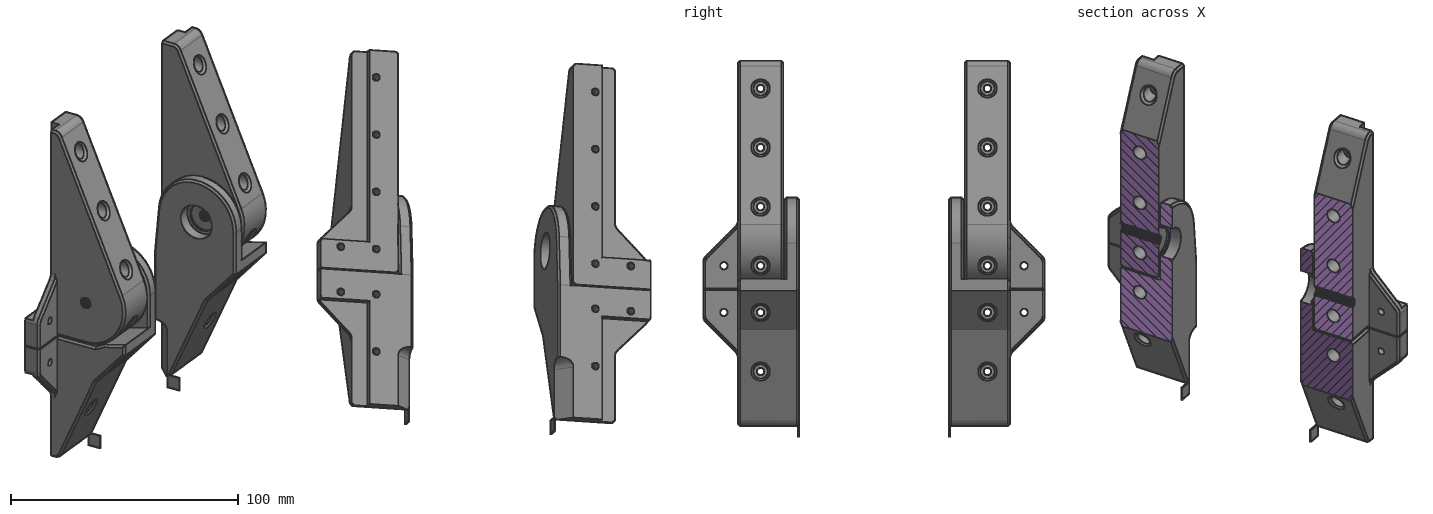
import cadquery as cq
import math


margin = 0.2

depth = 42.0
inner_y = 32.9
leaf_inner_y = 39.8
leaf_outer_y = 59.8
ear_outer_y = 75.0
upper_top_z = 100.2
lower_bottom_z = -60.1
side_gap = 0.5
upper_bottom_z = 0.25
lower_top_z = -0.3
chamfer = 1.0
corner_radius = 4.0
tip_center_x = 5.5

knuckle_radius = 20.0
pivot_x = depth - knuckle_radius
pivot_z = upper_bottom_z + knuckle_radius
thread_minor = 4.3
thread_major = 5.1
thread_pitch = 0.8
cheek_bore = 13.0
cheek_counterbore = 16.0
cheek_counterbore_depth = 5.5
cheek_thickness = leaf_inner_y - side_gap - inner_y

nose_ramp_start_x = 26.8
nose_ramp_end = (31.0, 1.8)
nose_tip_z = 4.5
nose_bottom_z = -0.7
waist = (27.0, -17.7)

ear_thickness = 7.3
recess_depth = 4.0
recess_y = 52.8
ear_height = 13.0

screw_hole = 3.1
screw_bore = 6.3
screw_y = (leaf_inner_y + leaf_outer_y) / 2
ear_screw_y = 65.9
first_screw_z = 10.2
screw_pitch = 26.0
upper_screw_count = 4
lower_screw_count = 2

bevel = leaf_inner_y - inner_y
bevel_top_z = -33.0
bevel_run_out = 4.1
tab_size = 6.1
tab_thickness = 0.5
tab_bottom_z = -64.9


def tangent_points(center_a, radius_a, center_b, radius_b, side):
    """Points where an outer tangent touches circles a and b; side 1 is left of a-to-b, -1 is right."""
    dx = center_b[0] - center_a[0]
    dz = center_b[1] - center_a[1]
    heading = math.atan2(dz, dx)
    normal = heading + side * math.acos((radius_a - radius_b) / math.hypot(dx, dz))
    return (
        on_circle(center_a, radius_a, normal),
        on_circle(center_b, radius_b, normal),
    )


def on_circle(center, radius, angle):
    return (center[0] + radius * math.cos(angle), center[1] + radius * math.sin(angle))


def at_y(y):
    """XZ workplane at the given Y; extruding a negative length goes toward +Y."""
    return cq.Workplane("XZ", origin=(0, y, 0))


def box(x_range, y_range, z_range):
    corner = (x_range[0], y_range[0], z_range[0])
    size = (x_range[1] - x_range[0], y_range[1] - y_range[0], z_range[1] - z_range[0])
    return cq.Workplane("XY").box(*size, centered=False).translate(corner)


def chamfer_sides(plate, face):
    """Chamfer the outline of a Y face, leaving the edge on the mounting face sharp."""
    beyond_back = cq.selectors.BoxSelector(
        (margin, 0, tab_bottom_z),
        (depth + margin, ear_outer_y, upper_top_z + margin),
    )
    return plate.faces(face).edges(beyond_back).chamfer(chamfer)


def upper_plate():
    pivot = (pivot_x, pivot_z)
    tip = (tip_center_x, upper_top_z - corner_radius)
    slope_low, slope_high = tangent_points(pivot, knuckle_radius, tip, corner_radius, -1)
    plate = (
        at_y(leaf_inner_y)
        .moveTo(0, upper_bottom_z)
        .lineTo(pivot_x, upper_bottom_z)
        .threePointArc(on_circle(pivot, knuckle_radius, math.radians(-45)), slope_low)
        .lineTo(*slope_high)
        .threePointArc(on_circle(tip, corner_radius, math.radians(60)), (tip_center_x, upper_top_z))
        .lineTo(0, upper_top_z)
        .close()
        .extrude(leaf_inner_y - leaf_outer_y)
    )
    plate = chamfer_sides(plate, "<Y")
    return chamfer_sides(plate, ">Y")


def foot_outline(sketch):
    """Continue an outline from the nose bottom, round the foot tip, to the mounting face."""
    tip = (tip_center_x, lower_bottom_z + corner_radius)
    slope_high, slope_low = tangent_points(waist, 0, tip, corner_radius, 1)
    return (
        sketch
        .lineTo(*slope_high)
        .lineTo(*slope_low)
        .threePointArc(on_circle(tip, corner_radius, math.radians(-60)), (tip_center_x, lower_bottom_z))
        .lineTo(0, lower_bottom_z)
        .close()
    )


def lower_plate():
    """Part of the lower leaf below the upper leaf; it overlaps the cheek up to its inner chamfer."""
    start_y = inner_y + chamfer
    sketch = (
        at_y(start_y)
        .moveTo(0, lower_top_z)
        .lineTo(nose_ramp_start_x, lower_top_z)
        .lineTo(*nose_ramp_end)
        .lineTo(depth, nose_tip_z)
        .lineTo(depth, nose_bottom_z)
    )
    plate = foot_outline(sketch).extrude(start_y - leaf_outer_y)
    return chamfer_sides(plate, ">Y")


def cheek():
    """Plate of the lower leaf that reaches up beside the upper leaf and carries the pivot."""
    pivot = (pivot_x, pivot_z)
    shoulder = (0, lower_top_z)
    _, side_top = tangent_points(shoulder, 0, pivot, knuckle_radius, 1)
    sketch = (
        at_y(inner_y)
        .moveTo(*shoulder)
        .lineTo(*side_top)
        .threePointArc(on_circle(pivot, knuckle_radius, math.pi / 2), (depth, pivot_z))
        .lineTo(depth, nose_bottom_z)
    )
    plate = foot_outline(sketch).extrude(-cheek_thickness)
    return plate.faces("<Y or >Y").edges().chamfer(chamfer)


def ear(side, start_z):
    """Mounting ear from start_z outward; side is 1 above the parting plane and -1 below it."""
    root_y = recess_y
    end_z = abs(start_z)
    slope_start_z = end_z + ear_height
    slope_top_z = slope_start_z + ear_outer_y - leaf_outer_y
    root_top_z = slope_top_z + corner_radius
    points = [
        (root_y, end_z),
        (ear_outer_y, end_z),
        (ear_outer_y, slope_start_z),
        (leaf_outer_y, slope_top_z),
        (leaf_outer_y, root_top_z),
        (root_y, root_top_z),
    ]
    plate = cq.Workplane("YZ").polyline([(y, side * z) for y, z in points]).close().extrude(ear_thickness)
    for y, z in points[2:4]:
        corner = (ear_thickness / 2, y, side * z)
        plate = plate.edges(cq.selectors.NearestToPointSelector(corner)).fillet(corner_radius)
    outer_edges = cq.selectors.BoxSelector(
        (ear_thickness - margin, leaf_outer_y + margin / 10, start_z + side * margin),
        (ear_thickness + margin, ear_outer_y + margin, side * root_top_z),
    )
    return plate.faces(">X").edges(outer_edges).chamfer(chamfer)


def back_recess(start_z, end_z):
    """Cutter for the step in the mounting face, from the ear to the end of the leaf."""
    return box((0, recess_depth), (recess_y, ear_outer_y), sorted((start_z, end_z)))


def x_cylinder(diameter, start_x, y, z):
    return cq.Workplane("YZ", origin=(start_x, y, z)).circle(diameter / 2).extrude(depth)


def chamfer_bore_mouth(leaf, z):
    """Chamfer the rim where a screw bore breaks through the sloping side of a leaf."""
    reach = screw_bore / 2 + margin
    around_bore = cq.selectors.BoxSelector(
        (ear_thickness + margin, screw_y - reach, z - reach),
        (depth, screw_y + reach, z + reach),
    )
    rim = cq.selectors.NearestToPointSelector((depth, screw_y, z))
    return leaf.edges(around_bore).edges("not #X").edges(rim).chamfer(chamfer)


def cut_screw_holes(leaf, side, count):
    """Row of stepped screw holes along the leaf and one plain hole in the ear."""
    row = [side * (first_screw_z + i * screw_pitch) for i in range(count)]
    for z in row:
        leaf = leaf.cut(x_cylinder(screw_bore, ear_thickness, screw_y, z))
        leaf = chamfer_bore_mouth(leaf, z)
        leaf = leaf.cut(x_cylinder(screw_hole, 0, screw_y, z))
    return leaf.cut(x_cylinder(screw_hole, 0, ear_screw_y, row[0]))


def pivot_cylinder(diameter, start_y, end_y):
    return at_y(start_y).center(pivot_x, pivot_z).circle(diameter / 2).extrude(start_y - end_y)


def cut_pivot_hole(leaf):
    """Threaded pivot hole, with the thread as a row of V grooves."""
    turns = round((leaf_outer_y - leaf_inner_y) / thread_pitch)
    half_pitch = (leaf_outer_y - leaf_inner_y) / turns / 2
    profile = [(0, leaf_inner_y)]
    for i in range(2 * turns + 1):
        diameter = thread_minor if i % 2 else thread_major
        profile.append((diameter / 2, leaf_inner_y + i * half_pitch))
    profile.append((0, leaf_outer_y))
    cutter = cq.Workplane("XY").polyline(profile).close().revolve(360, (0, 0, 0), (0, 1, 0))
    return leaf.cut(cutter.translate((pivot_x, 0, pivot_z)))


def cut_foot_bevel(leaf):
    """Bevel the inner back corner of the foot; a concave radius ends the bevel."""
    bevel_plane = cq.Plane(
        origin=(bevel / 2, inner_y + bevel / 2, bevel_top_z),
        xDir=(1, 1, 0),
        normal=(1, -1, 0),
    )
    profile = (
        cq.Workplane(bevel_plane)
        .moveTo(0, lower_bottom_z - bevel_top_z)
        .lineTo(0, -bevel_run_out)
        .radiusArc((-bevel_run_out, 0), -bevel_run_out)
        .lineTo(-bevel, 0)
        .lineTo(-bevel, lower_bottom_z - bevel_top_z)
        .close()
    )
    return leaf.cut(profile.extrude(bevel, both=True))


def foot_tab():
    return box(
        (bevel, bevel + tab_size),
        (inner_y, inner_y + tab_thickness),
        (tab_bottom_z, tab_bottom_z + tab_size),
    )


def upper_leaf():
    leaf = upper_plate().union(ear(1, upper_bottom_z))
    leaf = leaf.cut(back_recess(upper_bottom_z + ear_height, upper_top_z))
    leaf = cut_pivot_hole(leaf)
    return cut_screw_holes(leaf, 1, upper_screw_count)


def lower_leaf():
    leaf = cheek().union(lower_plate()).union(ear(-1, lower_top_z))
    leaf = leaf.cut(back_recess(lower_top_z - ear_height, lower_bottom_z))
    step_y = inner_y + cheek_counterbore_depth
    leaf = leaf.cut(pivot_cylinder(cheek_counterbore, inner_y, step_y))
    leaf = leaf.cut(pivot_cylinder(cheek_bore, inner_y, leaf_inner_y))
    leaf = cut_screw_holes(leaf, -1, lower_screw_count)
    return cut_foot_bevel(leaf).union(foot_tab())


bodies = []
for leaf in (upper_leaf(), lower_leaf()):
    for placed in (leaf, leaf.mirror("XZ")):
        bodies.append(placed.solids().val())

result = cq.Compound.makeCompound(bodies)